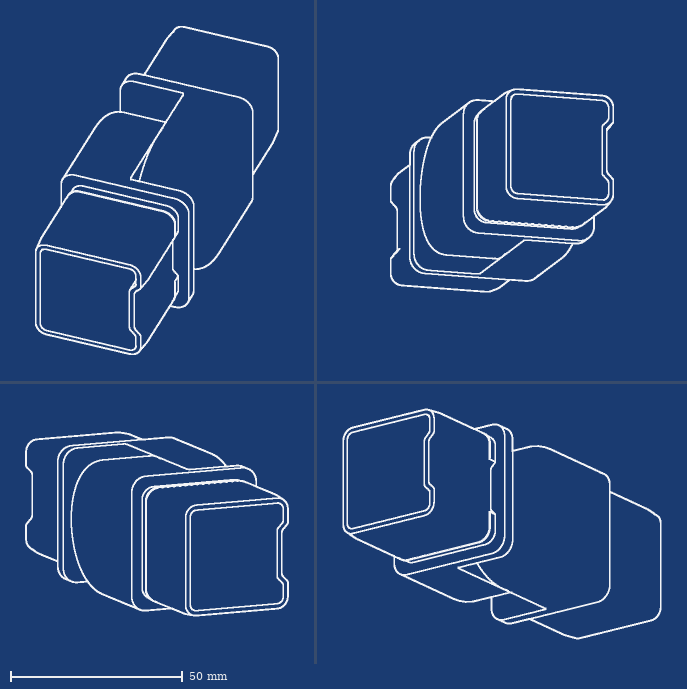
import cadquery as cq
import math


joint_size = 40.0
half_size = joint_size / 2
edge_radius = 4.5
flange_thickness = 4.0
swivel_gap = 2.0
flange_corner_radius = 0.7
flange_inner = half_size + swivel_gap
flange_outer = flange_inner + flange_thickness

spigot_size = 33.9
spigot_radius = 4.0
spigot_length = 30.0
neck_length = 3.0
neck_inset = 0.25
tip_length = 5.0
tip_inset = 0.5
tip_taper = math.degrees(math.atan2(tip_inset, tip_length))

groove_depth = 2.0
groove_floor_width = 12.8
groove_edge_radius = 1.3

wall = 2.0
cavity_depth = spigot_length
cavity_floor_radius = 1.0


def rounded_square_bar(start, length, size, radius):
    """Square bar with rounded corners running from Y = -start toward -Y."""
    bar = cq.Workplane("XZ", origin=(0, -start, 0)).rect(size, size).extrude(length)
    return bar.edges("|Y").fillet(radius)


def grooved_bar(start, length, inset=0.0):
    """Spigot bar running from Y = -start toward -Y, its outline moved inward by inset."""
    half_width = spigot_size / 2 - inset
    half_floor = groove_floor_width / 2 + inset * math.tan(math.radians(45 / 2))
    half_mouth = half_floor + groove_depth
    floor_x = half_width - groove_depth

    groove = (
        cq.Workplane("XZ", origin=(0, -start, 0))
        .moveTo(half_width, -half_mouth)
        .lineTo(floor_x, -half_floor)
        .lineTo(floor_x, half_floor)
        .lineTo(half_width, half_mouth)
        .close()
        .extrude(length)
    )
    bar = rounded_square_bar(start, length, 2 * half_width, spigot_radius - inset).cut(groove)

    selection_reach = half_mouth + groove_edge_radius / 2
    groove_edges = cq.selectors.BoxSelector(
        (0, -start, -selection_reach), (half_size, -start - length, selection_reach)
    )
    return bar.edges("|Y").edges(groove_edges).fillet(groove_edge_radius)


def make_swivel_body():
    """Half-width body with a round end about the X axis, standing on a full-width flange."""
    body = (
        cq.Workplane("YZ", origin=(-half_size, 0, 0))
        .moveTo(-flange_outer, -half_size)
        .lineTo(0, -half_size)
        .threePointArc((half_size, 0), (0, half_size))
        .lineTo(-flange_outer, half_size)
        .close()
        .extrude(half_size)
    )
    body = body.faces("<X").edges("not <Y").fillet(edge_radius)

    flange = rounded_square_bar(flange_inner, flange_thickness, joint_size, edge_radius)
    body = body.union(flange)
    inside_corner = cq.selectors.NearestToPointSelector((0, -flange_inner, 0))
    return body.edges("|Z").edges(inside_corner).fillet(flange_corner_radius)


def make_spigot():
    """Relieved neck, grooved shank and tapered tip in one solid bar."""
    neck_square = rounded_square_bar(
        flange_outer, neck_length, spigot_size - 2 * neck_inset, spigot_radius - neck_inset
    )
    neck = grooved_bar(flange_outer, neck_length).intersect(neck_square)

    shank_length = spigot_length - neck_length - tip_length
    shank = grooved_bar(flange_outer + neck_length, shank_length)
    tip = shank.faces("<Y").wires().toPending().workplane().extrude(
        tip_length, taper=tip_taper, combine=False
    )
    return neck.union(shank).union(tip)


def make_cavity():
    """Blind hollow of the spigot, rounded at its floor."""
    mouth = flange_outer + spigot_length
    cavity = grooved_bar(mouth - cavity_depth, cavity_depth, inset=wall)
    return cavity.faces(">Y").edges().fillet(cavity_floor_radius)


def make_joint_half():
    return make_swivel_body().union(make_spigot()).cut(make_cavity())


joint_half = make_joint_half()
joint_halves = [joint_half.rotate((0, 0, 0), (0, 0, 1), angle) for angle in (0, 180)]

result = cq.Compound.makeCompound([half.val() for half in joint_halves])